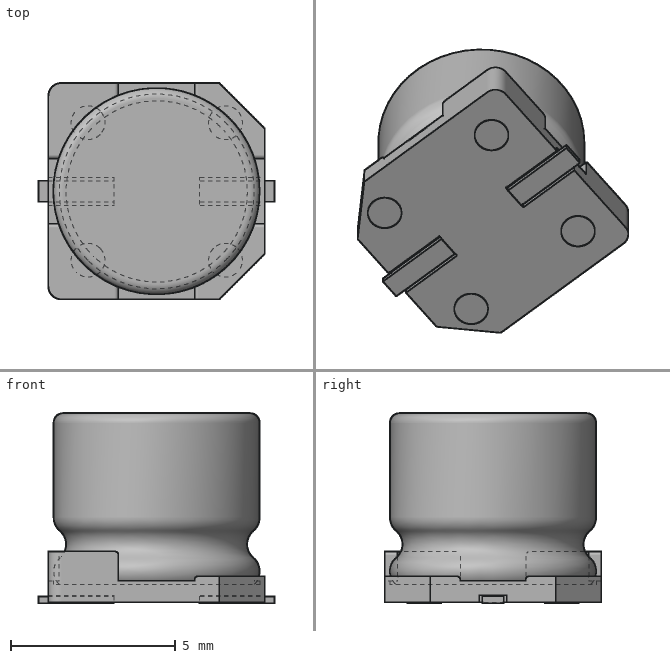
import cadquery as cq
import math


terminal_span = 7.2
base_width = 6.6
total_height = 5.8

base_bottom = 0.03
tall_top = 1.585
low_top = 0.83
notch_floor = 0.685
corner_radius = 0.4
corner_chamfer = 1.39
front_notch_width = 2.32
side_notch_width = 1.99
notch_edge_radius = 0.115
foot_diameter = 1.03
foot_offset = 2.095
recess_floor = 0.58

can_radius = 3.15
rim_radius = 0.3
neck_radius = 2.765
neck_height = 1.8
shoulder_rise = 0.82

terminal_width = 0.65
terminal_thickness = 0.215
terminal_inner_end = 1.3
slot_width = 0.85
slot_top = 0.245

half_base = base_width / 2


def make_can():
    """Turned can with a rolled groove made of three equal tangent arcs."""
    groove_depth = can_radius - neck_radius
    sweep = 2 * math.atan(groove_depth / shoulder_rise)
    arc_radius = shoulder_rise / (2 * math.sin(sweep))
    bulge_center_r = can_radius - arc_radius
    neck_center_r = neck_radius + arc_radius
    upper_bulge = neck_height + shoulder_rise
    lower_bulge = neck_height - shoulder_rise

    tangent_r = (can_radius + neck_radius) / 2
    mid_bulge_r = bulge_center_r + arc_radius * math.cos(sweep / 2)
    mid_bulge_drop = arc_radius * math.sin(sweep / 2)

    bottom_r = bulge_center_r + math.sqrt(arc_radius**2 - (lower_bulge - recess_floor) ** 2)

    rim_r = can_radius - rim_radius
    rim_z = total_height - rim_radius
    rim_mid = rim_radius * math.sqrt(0.5)

    profile = (
        cq.Workplane("XZ")
        .moveTo(0, recess_floor)
        .lineTo(bottom_r, recess_floor)
        .threePointArc((can_radius, lower_bulge), (tangent_r, neck_height - shoulder_rise / 2))
        .threePointArc((neck_radius, neck_height), (tangent_r, neck_height + shoulder_rise / 2))
        .threePointArc((mid_bulge_r, upper_bulge - mid_bulge_drop), (can_radius, upper_bulge))
        .lineTo(can_radius, rim_z)
        .threePointArc((rim_r + rim_mid, rim_z + rim_mid), (rim_r, total_height))
        .lineTo(0, total_height)
        .close()
    )
    return profile.revolve(360, (0, 0, 0), (0, 1, 0))


def block(x_min, x_max, y_size, z_min, z_max):
    """Box centred on Y, given by its X and Z limits."""
    return (
        cq.Workplane("XY", origin=((x_min + x_max) / 2, 0, z_min))
        .box(x_max - x_min, y_size, z_max - z_min, centered=(True, True, False))
    )


def make_base():
    """Base plate with raised corners, can recess, terminal slots and four feet."""
    base = block(-half_base, half_base, base_width, base_bottom, tall_top)
    base = base.edges("|Z and <X").fillet(corner_radius)
    base = base.edges("|Z and >X").chamfer(corner_chamfer)

    base = base.cut(block(0, half_base, base_width, low_top, tall_top))

    half_notch = front_notch_width / 2
    base = base.cut(block(-half_notch, half_notch, base_width, notch_floor, tall_top))
    base = base.cut(block(-half_base, half_base, side_notch_width, notch_floor, tall_top))

    half_side_notch = side_notch_width / 2
    for side, top in ((-1, tall_top), (1, low_top)):
        for end in (-1, 1):
            mid_x = side * (half_notch + half_base) / 2
            mid_y = end * (half_side_notch + half_base) / 2
            facing_y = cq.selectors.NearestToPointSelector((mid_x, end * half_side_notch, top))
            facing_x = cq.selectors.NearestToPointSelector((side * half_notch, mid_y, top))
            base = base.edges(facing_y + facing_x).fillet(notch_edge_radius)

    recess = (
        cq.Workplane("XY", origin=(0, 0, recess_floor))
        .circle(can_radius)
        .extrude(tall_top - recess_floor)
    )
    base = base.cut(recess)

    for side in (-1, 1):
        x_min, x_max = sorted((side * terminal_inner_end, side * half_base))
        base = base.cut(block(x_min, x_max, slot_width, base_bottom, slot_top))

    feet = (
        cq.Workplane("XY")
        .rect(2 * foot_offset, 2 * foot_offset, forConstruction=True)
        .vertices()
        .circle(foot_diameter / 2)
        .extrude(base_bottom)
    )
    return base.union(feet)


def make_terminal(side):
    """Flat terminal strip, on the -X side (side = -1) or the +X side (side = 1)."""
    x_min, x_max = sorted((side * terminal_inner_end, side * terminal_span / 2))
    return block(x_min, x_max, terminal_width, 0, terminal_thickness)


can = make_can()
base = make_base()
terminals = [make_terminal(side).val() for side in (-1, 1)]

result = cq.Compound.makeCompound([can.val(), base.val(), *terminals])